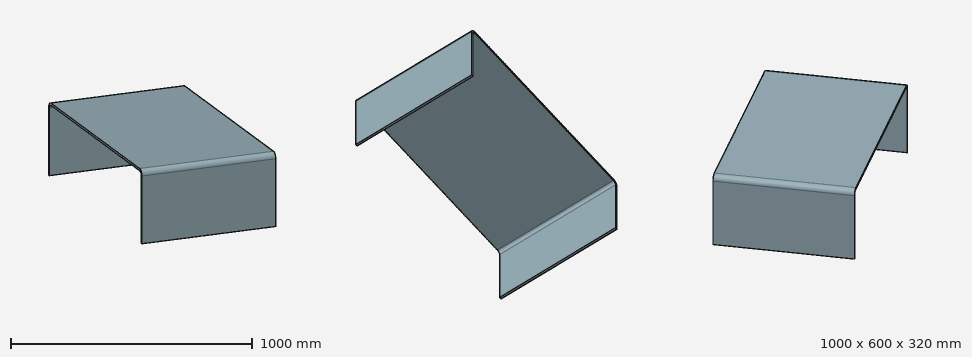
import cadquery as cq

length = 1000.0
depth = 600.0
height = 320.0

thickness = 10.0
inner_radius = 15.0
outer_radius = inner_radius + thickness


def rounded_block(width, top, radius):
    """Block standing on Z = 0 with its two upper long edges rounded."""
    block = cq.Workplane("XY").box(width, depth, top, centered=(True, True, False))
    return block.faces(">Z").edges("|Y").fillet(radius)


outside = rounded_block(length, height, outer_radius)
inside = rounded_block(length - 2 * thickness, height - thickness, inner_radius)
result = outside.cut(inside)